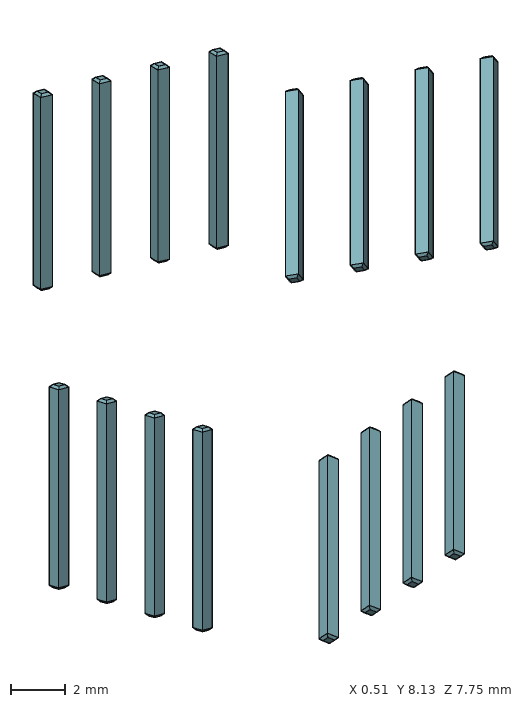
import cadquery as cq

row_length = 8.13
pin_side = 0.51
pin_length = 7.75
tip_chamfer = 0.1
pin_count = 4

pin_pitch = (row_length - pin_side) / (pin_count - 1)


def make_pin(y_center):
    """Square pin standing along Z, chamfered on all four sides at both ends."""
    return (
        cq.Workplane("XY")
        .box(pin_side, pin_side, pin_length)
        .faces("<Z or >Z")
        .edges()
        .chamfer(tip_chamfer)
        .translate((0, y_center, 0))
    )


pins = []
for index in range(pin_count):
    y_center = (index - (pin_count - 1) / 2) * pin_pitch
    pins.append(make_pin(y_center).val())

result = cq.Compound.makeCompound(pins)